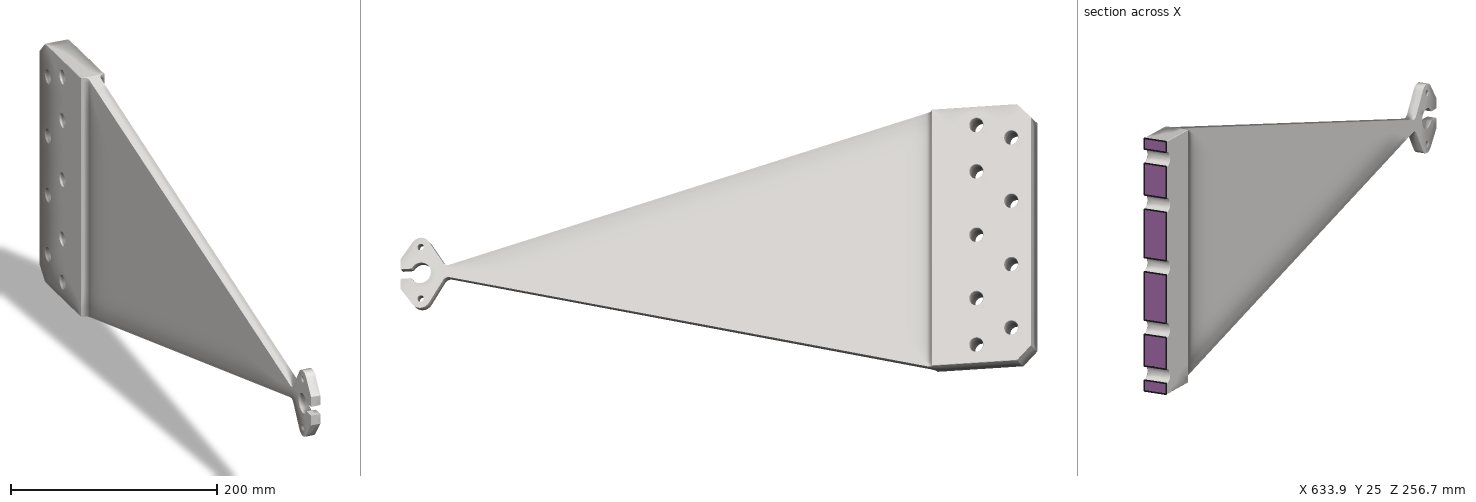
import cadquery as cq
import math

length = 633.87
height = 256.69
block_thickness = 25.0
edge_chamfer = 0.5

block_length = 99.7
corner_chamfer = 14.0
bolt_hole_diameter = 13.89
outer_column_x = 20.0
inner_column_x = 55.0
hole_pitch = 63.5
end_hole_z = 110.0

web_root_thickness = 12.0
web_root_fillet = 5.5
neck_half_height = 5.2
neck_fillet = 6.36

head_thickness = 10.0
head_x = length - 20.0
bore_diameter = 20.5
slit_width = 9.5
ear_hole_z = 25.8
ear_hole_diameter = 6.48
ear_radius = 10.0
ear_arc_z = 25.1
web_flank_angle = math.radians(57)
tip_flank_angle = math.radians(53)


def ear_arc_point(angle):
    """Point on the upper ear arc, at an angle from +Z towards +X."""
    return (head_x + ear_radius * math.sin(angle), ear_arc_z + ear_radius * math.cos(angle))


def plate_outline():
    """Outline in XZ: chamfered block, converging web and eared head, extruded through the thickness."""
    half_height = height / 2
    arc_start = ear_arc_point(-web_flank_angle)
    arc_end = ear_arc_point(tip_flank_angle)
    neck_x = arc_start[0] - (arc_start[1] - neck_half_height) / math.tan(web_flank_angle)
    tip_z = arc_end[1] - (length - arc_end[0]) * math.tan(tip_flank_angle)
    upper_half = (
        cq.Workplane("XZ")
        .moveTo(0, 0)
        .lineTo(0, half_height - corner_chamfer)
        .lineTo(corner_chamfer, half_height)
        .lineTo(block_length, half_height)
        .lineTo(neck_x, neck_half_height)
        .lineTo(*arc_start)
        .threePointArc(ear_arc_point(0), arc_end)
        .lineTo(length, tip_z)
        .lineTo(length, 0)
        .close()
        .extrude(block_thickness / 2, both=True)
    )
    neck_edge = cq.selectors.NearestToPointSelector((neck_x, 0, neck_half_height))
    upper_half = upper_half.edges("|Y").edges(neck_edge).fillet(neck_fillet)
    return upper_half.union(upper_half.mirror("XY"))


def thickness_profile():
    """Profile in XY: thick block, filleted step and web thinning towards the head."""
    half_block = block_thickness / 2
    half_root = web_root_thickness / 2
    half_head = head_thickness / 2
    profile = (
        cq.Workplane("XY")
        .polyline([
            (0, -half_block),
            (block_length, -half_block),
            (block_length, -half_root),
            (length, -half_head),
            (length, half_head),
            (block_length, half_root),
            (block_length, half_block),
            (0, half_block),
        ])
        .close()
        .extrude(height / 2, both=True)
    )
    for side in (-1, 1):
        step_edge = cq.selectors.NearestToPointSelector((block_length, side * half_root, 0))
        profile = profile.edges("|Z").edges(step_edge).fillet(web_root_fillet)
    return profile


def through_holes(points, diameter, thickness):
    """Holes along Y at the given (x, z) points, chamfered at both faces of a plate this thick."""
    rim_radius = diameter / 2 + edge_chamfer
    holes = cq.Workplane("XZ").pushPoints(points).circle(diameter / 2).extrude(block_thickness, both=True)
    for side in (-1, 1):
        face = cq.Workplane("XZ", origin=(0, side * thickness / 2, 0)).pushPoints(points)
        holes = holes.union(face.circle(rim_radius).extrude(side * edge_chamfer, taper=45))
    return holes


def mounting_holes():
    """Two staggered columns of bolt holes through the block."""
    points = [(outer_column_x, step * hole_pitch) for step in (-1.5, -0.5, 0.5, 1.5)]
    points += [(inner_column_x, step * hole_pitch) for step in (-1, 0, 1)]
    points += [(inner_column_x, side * end_hole_z) for side in (-1, 1)]
    return through_holes(points, bolt_hole_diameter, block_thickness)


def clamp_opening():
    """Bore with a slit opening to +X, and one screw hole in each ear."""
    bore = through_holes([(head_x, 0)], bore_diameter, head_thickness)
    slit = cq.Workplane("XY", origin=(head_x, 0, 0)).box(
        length - head_x, block_thickness, slit_width, centered=(False, True, True)
    )
    ear_points = [(head_x, side * ear_hole_z) for side in (-1, 1)]
    ear_holes = through_holes(ear_points, ear_hole_diameter, head_thickness)
    return bore.union(slit).union(ear_holes)


def bracket_body():
    """Outline and thickness combined, with the block's top, bottom and web-side face edges broken."""
    body = plate_outline().intersect(thickness_profile())
    return body.faces("<Y or >Y").edges("|X or (|Z and >X)").chamfer(edge_chamfer)


result = (
    bracket_body()
    .cut(mounting_holes())
    .cut(clamp_opening())
)